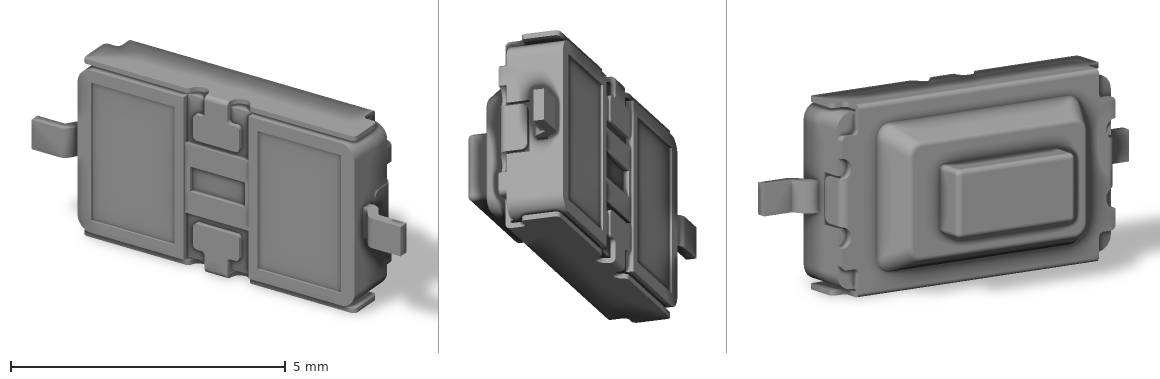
import cadquery as cq
import math


body_height = 1.1
cover_top = 1.25
dome_top = 1.9
button_top = 2.5

body_length = 6.0
body_width = 3.3
body_corner_radius = 0.3
groove_width = 1.42
groove_depth = 0.15
bridge_width = groove_width
bridge_setback = 0.05
bridge_pocket_length = 1.18
bridge_pocket_width = 0.51
window_length = 1.81
window_width = 2.82
window_center_x = 1.81
window_depth = 0.05
tab_recess_width = 0.99
tab_recess_floor = 0.65

cover_width = 3.6
wall_thickness = 0.1
bend_radius = 0.09
sheet_corner_radius = 0.1
cover_middle_length = 5.28
cover_ear_width = 2.5
notch_radius = 0.2
notch_center_z = 0.64
wall_length = 5.9
wall_bottom = wall_thickness
wall_shoulder = 0.84
end_tab_bottom = 0.7
end_tab_corner_radius = 0.13
end_tab_bend_radius = 0.14

clip_thickness = wall_thickness
clip_neck_width = 0.5
clip_head_width = 0.99
clip_head_inner_z = 0.85
clip_head_outer_z = 1.37
clip_corner_radius = 0.07
arch_radius = 0.2
arch_flare_radius = 0.09

dome_length = 4.46
dome_width = 2.78
dome_taper = 25.0
dome_corner_radius = 0.3
dome_rim_radius = 0.1
button_length = 2.58
button_width = 1.28
button_edge_radius = 0.1

lead_tip_x = 4.0
lead_width = 0.6
lead_thickness = 0.2
foot_bend_x = 3.4
arm_bend_x = 3.1
arm_bottom = 0.29
lead_embed = 0.08


def block(length, width, bottom, top, x=0.0, z=0.0):
    """Box centred on (x, z) that spans y from bottom to top."""
    return (
        cq.Workplane("XY")
        .box(length, top - bottom, width)
        .translate((x, (bottom + top) / 2, z))
    )


def with_mirror(shape, plane):
    return shape.union(shape.mirror(plane))


def make_body():
    body = block(body_length, body_width, 0, body_height).edges("|Y").fillet(body_corner_radius)
    body = body.cut(block(groove_width, body_width, 0, groove_depth))
    bridge = block(groove_width, bridge_width, bridge_setback, groove_depth)
    bridge = bridge.cut(block(bridge_pocket_length, bridge_pocket_width, bridge_setback, groove_depth))
    body = body.union(bridge)
    for side in (-1, 1):
        body = body.cut(block(window_length, window_width, 0, window_depth, x=side * window_center_x))
        recess_x = side * (body_length - wall_thickness) / 2
        body = body.cut(
            block(wall_thickness, tab_recess_width, tab_recess_floor, body_height, x=recess_x)
        )
    return body


def make_top_sheet():
    """Top plate with rounded ears and a tab folded down at each end."""
    sheet = block(cover_middle_length, cover_width, body_height, cover_top)
    sheet = sheet.union(block(body_length, cover_ear_width, body_height, cover_top))
    sheet = sheet.edges("|Y").edges("not (>Z or <Z)").fillet(sheet_corner_radius)

    notch_centers = [
        (x, z)
        for x in (-body_length / 2, body_length / 2)
        for z in (-notch_center_z, notch_center_z)
    ]
    notches = (
        cq.Workplane("XZ", origin=(0, cover_top, 0))
        .pushPoints(notch_centers)
        .circle(notch_radius)
        .extrude(cover_top - body_height)
    )
    sheet = sheet.cut(notches)

    end_tab_width = 2 * (notch_center_z - notch_radius)
    end_tab_x = (body_length - wall_thickness) / 2
    end_tab = (
        block(wall_thickness, end_tab_width, end_tab_bottom, body_height, x=end_tab_x)
        .edges("|X and <Y")
        .fillet(end_tab_corner_radius)
    )
    sheet = sheet.union(with_mirror(end_tab, "YZ"))
    tab_top_edges = cq.selectors.BoxSelector(
        (-body_length, body_height, -end_tab_width / 2),
        (body_length, 2 * cover_top - body_height, end_tab_width / 2),
    )
    return sheet.edges("|Z").edges(tab_top_edges).fillet(end_tab_bend_radius)


def make_relief_arch():
    """Half-round cut beside the clip neck, flared where it meets the wall's lower edge."""
    center_x = clip_neck_width / 2 + arch_radius
    flare_offset = math.sqrt((arch_radius + arch_flare_radius) ** 2 - arch_flare_radius**2)
    flare_x = center_x + flare_offset
    flare_y = wall_bottom + arch_flare_radius
    share = arch_radius / (arch_radius + arch_flare_radius)
    tangent_point = (center_x + share * flare_offset, wall_bottom + share * arch_flare_radius)
    tangent_angle = math.atan2(-arch_flare_radius, -flare_offset)
    flare_angle = (tangent_angle - math.pi / 2) / 2
    flare_middle = (
        flare_x + arch_flare_radius * math.cos(flare_angle),
        flare_y + arch_flare_radius * math.sin(flare_angle),
    )
    return (
        cq.Workplane("XY", origin=(0, 0, cover_width / 2 - wall_thickness))
        .moveTo(clip_neck_width / 2, wall_bottom)
        .threePointArc((center_x, wall_bottom + arch_radius), tangent_point)
        .threePointArc(flare_middle, (flare_x, wall_bottom))
        .close()
        .extrude(wall_thickness)
    )


def make_side_wall():
    """Side wall on the +Z side, with shoulders at both ends and the clip folded under."""
    wall_z = (cover_width - wall_thickness) / 2
    wall = block(wall_length, wall_thickness, wall_bottom, wall_shoulder, z=wall_z)
    wall = wall.union(block(cover_middle_length, wall_thickness, wall_bottom, cover_top, z=wall_z))
    wall = wall.edges("|Z").edges("not >Y").fillet(sheet_corner_radius)
    wall = wall.cut(with_mirror(make_relief_arch(), "YZ"))

    neck_length = cover_width / 2 - clip_head_outer_z
    neck_z = clip_head_outer_z + neck_length / 2
    head_length = clip_head_outer_z - clip_head_inner_z
    head_z = (clip_head_outer_z + clip_head_inner_z) / 2
    clip = block(clip_head_width, head_length, 0, clip_thickness, z=head_z)
    clip = clip.union(block(clip_neck_width, neck_length, 0, clip_thickness, z=neck_z))
    clip = clip.edges("|Y").edges("not >Z").fillet(clip_corner_radius)
    wall = wall.union(clip)
    return wall.edges("|X and <Y").edges(">Z").fillet(bend_radius)


def make_cover():
    cover = make_top_sheet().union(with_mirror(make_side_wall(), "XY"))
    clearance = (cover_width - body_width) / 2 - wall_thickness
    clearance_cut = block(
        body_length,
        clearance,
        body_height,
        cover_top - wall_thickness,
        z=(body_width + clearance) / 2,
    )
    cover = cover.cut(with_mirror(clearance_cut, "XY"))
    return cover.edges("|X").edges(">Y").edges(">Z or <Z").fillet(bend_radius)


def make_dome():
    dome = (
        cq.Workplane("XZ", origin=(0, cover_top, 0))
        .rect(dome_length, dome_width)
        .extrude(cover_top - dome_top, taper=dome_taper)
    )
    dome = dome.edges("not #Y").fillet(dome_corner_radius)
    return dome.faces(">Y").edges().fillet(dome_rim_radius)


def make_button():
    button = block(button_length, button_width, cover_top, button_top)
    button = button.edges("|Y").fillet(button_edge_radius)
    return button.faces(">Y").edges().fillet(button_edge_radius)


def make_lead():
    """Lead on the +X side; both bends are centred on their inner corners."""
    rise = arm_bottom - lead_thickness
    run = foot_bend_x - arm_bend_x
    slope = math.atan2(rise, run) + math.asin(lead_thickness / math.hypot(run, rise))
    root_x = body_length / 2 - lead_embed

    def on_bend(center_x, center_y, direction):
        return (
            center_x + lead_thickness * math.cos(direction),
            center_y + lead_thickness * math.sin(direction),
        )

    up = math.pi / 2
    down = -math.pi / 2
    return (
        cq.Workplane("XY", origin=(0, 0, -lead_width / 2))
        .moveTo(lead_tip_x, 0)
        .lineTo(lead_tip_x, lead_thickness)
        .lineTo(foot_bend_x, lead_thickness)
        .lineTo(*on_bend(arm_bend_x, arm_bottom, up - slope))
        .threePointArc(
            on_bend(arm_bend_x, arm_bottom, up - slope / 2),
            on_bend(arm_bend_x, arm_bottom, up),
        )
        .lineTo(root_x, arm_bottom + lead_thickness)
        .lineTo(root_x, arm_bottom)
        .lineTo(arm_bend_x, arm_bottom)
        .lineTo(*on_bend(foot_bend_x, lead_thickness, down - slope))
        .threePointArc(
            on_bend(foot_bend_x, lead_thickness, down - slope / 2),
            on_bend(foot_bend_x, lead_thickness, down),
        )
        .close()
        .extrude(lead_width)
    )


result = (
    make_body()
    .union(make_cover())
    .union(make_dome())
    .union(make_button())
    .union(with_mirror(make_lead(), "YZ"))
)